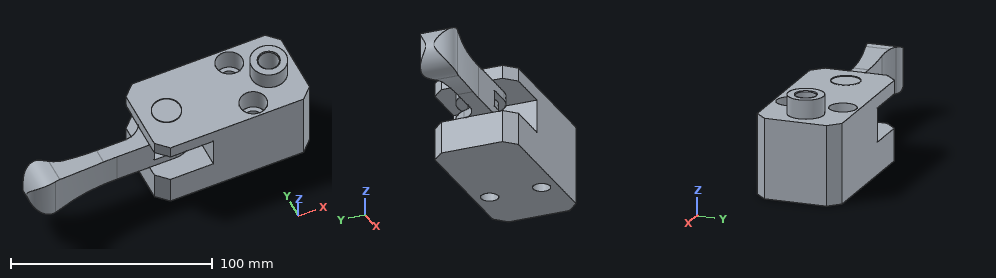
import cadquery as cq
import math


housing_length = 85.0
housing_width = 45.0
housing_height = 42.1
housing_back = 70.6
housing_front = housing_back - housing_length
corner_chamfer = 6.0

slot_middle = 26.0
slot_height = 17.8
slot_bottom = slot_middle - slot_height / 2
slot_end = 15.0

mount_x = 41.0
mount_y = 14.0
mount_diameter = 9.0
counterbore_diameter = 14.1
counterbore_depth = 12.0

boss_x = 56.0
boss_diameter = 18.8
boss_height = 10.0
bore_diameter = 10.5
bore_depth = 15.0
bore_chamfer = 0.5

pin_diameter = 15.0
pin_bottom = 10.5
pin_recess = 0.5
pin_top = housing_height - pin_recess

lobe_offset = 1.2
lobe_radius = 12.3
cam_radius = 14.3
lobe_side = lobe_offset - lobe_radius

fork_gap = 8.7
fork_end = -11.7
fork_radius = math.hypot(fork_end, lobe_side)

arm_side = -3.0
shoulder_start = -24.0
shoulder_end = (-13.2, 4.8)
neck_start = -58.0
neck_end = (-68.5, 0.6)
taper_start = -32.2
taper_end = (-67.9, -14.9)

tip_x = -79.9
tip_upper_y = -3.0
tip_lower_y = -7.4
head_upper_radius = 7.2
head_lower_radius = 10.2

head_radius = 12.2
head_center = tip_x + head_radius
flare_start = -39.7
flare_end = -65.2


def make_housing():
    body = (
        cq.Workplane("XY")
        .box(housing_length, housing_width, housing_height, centered=(False, True, False))
        .translate((housing_front, 0, 0))
        .edges("|Z")
        .chamfer(corner_chamfer)
    )
    boss = cq.Workplane("XY", origin=(boss_x, 0, housing_height)).circle(boss_diameter / 2).extrude(boss_height)
    bore = (
        cq.Workplane("XY", origin=(boss_x, 0, housing_height + boss_height))
        .circle(bore_diameter / 2)
        .extrude(-bore_depth)
    )
    body = body.union(boss).cut(bore)
    body = body.faces(">Z").edges(cq.selectors.RadiusNthSelector(0)).chamfer(bore_chamfer)

    slot = (
        cq.Workplane("XY", origin=(housing_front, 0, slot_bottom))
        .box(slot_end - housing_front, housing_width, slot_height, centered=(False, True, False))
    )
    mounts = (
        cq.Workplane("XY", origin=(mount_x, 0, housing_height))
        .pushPoints([(0, mount_y), (0, -mount_y)])
    )
    holes = mounts.circle(mount_diameter / 2).extrude(-housing_height)
    counterbores = mounts.circle(counterbore_diameter / 2).extrude(-counterbore_depth)
    pin_hole = (
        cq.Workplane("XY", origin=(0, 0, pin_bottom))
        .circle(pin_diameter / 2)
        .extrude(housing_height - pin_bottom)
    )
    return body.cut(slot).cut(holes).cut(counterbores).cut(pin_hole)


def make_pin():
    return (
        cq.Workplane("XY", origin=(0, 0, pin_bottom))
        .circle(pin_diameter / 2)
        .extrude(pin_top - pin_bottom)
    )


def tangent_arc_middle(flat_point, end_point):
    """Middle of the arc that leaves flat_point along the X direction and reaches end_point."""
    run = end_point[0] - flat_point[0]
    rise = end_point[1] - flat_point[1]
    radius = (run**2 + rise**2) / (2 * rise)
    half_angle = math.atan2(rise, abs(run))
    return (
        flat_point[0] + math.copysign(radius * math.sin(half_angle), run),
        flat_point[1] + radius * (1 - math.cos(half_angle)),
    )


def lever_plan():
    """Lever outline in XY, extruded over the full height of the head."""
    neck_middle = tangent_arc_middle((neck_start, arm_side), neck_end)
    return (
        cq.Workplane("XY", origin=(0, 0, slot_middle - head_radius))
        .moveTo(0, lobe_side)
        .lineTo(taper_start, lobe_side)
        .tangentArcPoint(taper_end, relative=False)
        .radiusArc((tip_x, tip_lower_y), head_lower_radius)
        .lineTo(tip_x, tip_upper_y)
        .radiusArc(neck_end, head_upper_radius)
        .threePointArc(neck_middle, (neck_start, arm_side))
        .lineTo(shoulder_start, arm_side)
        .tangentArcPoint(shoulder_end, relative=False)
        .radiusArc((0, lobe_offset + lobe_radius), cam_radius)
        .threePointArc((lobe_radius, lobe_offset), (0, lobe_side))
        .close()
        .extrude(2 * head_radius)
    )


def lever_side():
    """Lever outline in XZ about its middle plane, extruded across the whole lever."""
    half_arm = slot_height / 2
    flare_half = math.sqrt(head_radius**2 - (flare_end - head_center) ** 2)
    flare_middle = tangent_arc_middle((flare_start, half_arm), (flare_end, flare_half))
    return (
        cq.Workplane("XZ", origin=(0, 0, slot_middle))
        .moveTo(slot_end, half_arm)
        .lineTo(flare_start, half_arm)
        .threePointArc(flare_middle, (flare_end, flare_half))
        .threePointArc((tip_x, 0), (flare_end, -flare_half))
        .threePointArc((flare_middle[0], -flare_middle[1]), (flare_start, -half_arm))
        .lineTo(slot_end, -half_arm)
        .close()
        .extrude(housing_width / 2, both=True)
    )


def make_lever():
    gap = (
        cq.Workplane("XY", origin=(0, 0, slot_middle - fork_gap / 2))
        .circle(fork_radius)
        .extrude(fork_gap)
    )
    pin_hole = (
        cq.Workplane("XY", origin=(0, 0, slot_bottom))
        .circle(pin_diameter / 2)
        .extrude(slot_height)
    )
    return lever_plan().intersect(lever_side()).cut(gap).cut(pin_hole)


housing = make_housing()
pin = make_pin()
lever = make_lever()

result = cq.Compound.makeCompound([housing.val(), pin.val(), lever.val()])